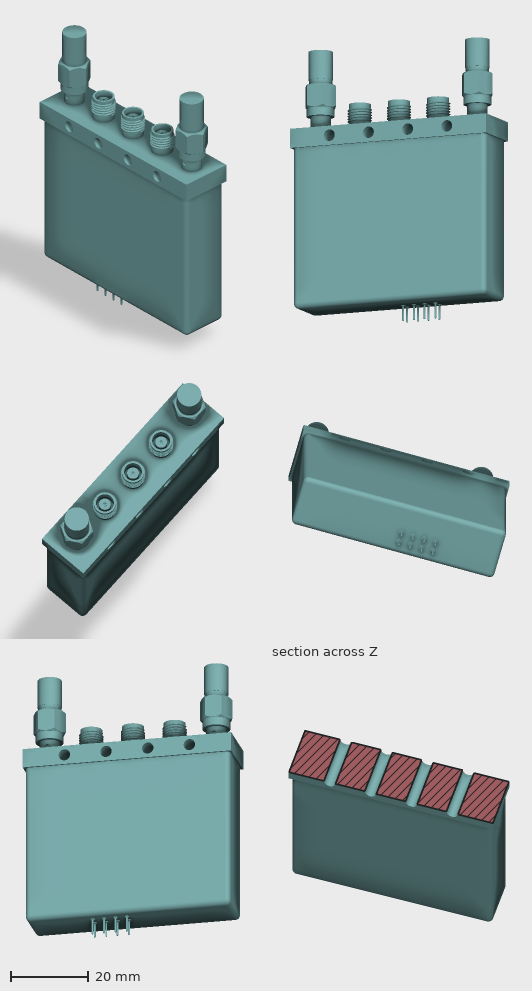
import cadquery as cq
import math

total_height = 72.55
flange_top = 51.5
flange_thickness = 5.1
flange_bottom = flange_top - flange_thickness
case_bottom = 4.1

flange_length = 55.6
flange_width = 14.2
flange_overhang = 0.5
case_length = flange_length - 2 * flange_overhang
case_width = flange_width - 2 * flange_overhang
case_edge_radius = 1.3

port_pitch = 11.1
connector_xs = [-port_pitch, 0, port_pitch]
terminator_xs = [-2 * port_pitch, 2 * port_pitch]
flange_hole_xs = [x + port_pitch / 2 for x in [-2 * port_pitch, *connector_xs]]
flange_hole_diameter = 3.05
flange_hole_z = flange_bottom + flange_thickness / 2

connector_height = 6.4
connector_core_diameter = 5.7
thread_crest_diameter = 6.3
thread_pitch = 0.7
thread_start = 1.7
thread_turns = 5
thread_root_overlap = 0.15
thread_root_half_width = 0.33
thread_crest_half_width = 0.04
bore_diameter = 4.65
bore_depth = 4.35
insulator_diameter = 3.05
insulator_recess = 1.2
contact_diameter = 1.15
contact_rise = 0.15
contact_hole_diameter = 0.7
contact_hole_depth = 0.6

stem_diameter = 5.3
collar_start = 3.85
collar_diameter = 7.25
nut_start = 6.0
nut_height = 6.2
nut_across_flats = 7.55
nut_corner_radius = nut_across_flats / math.sqrt(3)
nut_face_radius = 3.7
nut_chamfer_height = 0.6
neck_diameter = 6.2
cap_start = 13.6
cap_diameter = 6.3
stem_hole_diameter = 1.1
stem_hole_height = 2.0
stem_hole_depth = 0.7

pin_diameter = 0.5
pin_tip_chamfer = 0.11
first_pin_x = -10.0
pin_pitch = 3.05
pin_xs = [first_pin_x + i * pin_pitch for i in range(4)]
pin_ys = [-0.7, -3.3]
pin_base_diameter = 1.15
pin_base_height = 0.3

embed = 0.7


def disc(diameter, bottom, top):
    """Upright cylinder on the Z axis between two heights."""
    return cq.Workplane("XY").workplane(offset=bottom).circle(diameter / 2).extrude(top - bottom)


def make_case():
    case = (
        cq.Workplane("XY")
        .workplane(offset=case_bottom)
        .rect(case_length, case_width)
        .extrude(flange_bottom - case_bottom)
        .edges("|Z or <Z")
        .fillet(case_edge_radius)
    )
    flange = (
        cq.Workplane("XY")
        .workplane(offset=flange_bottom)
        .rect(flange_length, flange_width)
        .extrude(flange_thickness)
    )
    holes = (
        cq.Workplane("XZ")
        .pushPoints([(x, flange_hole_z) for x in flange_hole_xs])
        .circle(flange_hole_diameter / 2)
        .extrude(flange_width, both=True)
    )
    return case.union(flange.cut(holes))


def make_thread():
    """Helical ridge whose root lies inside the connector core."""
    crest_radius = thread_crest_diameter / 2
    root_radius = connector_core_diameter / 2 - thread_root_overlap
    helix = cq.Wire.makeHelix(thread_pitch, thread_turns * thread_pitch, root_radius)
    ridge = (
        cq.Workplane("XZ")
        .moveTo(root_radius, -thread_root_half_width)
        .lineTo(crest_radius, -thread_crest_half_width)
        .lineTo(crest_radius, thread_crest_half_width)
        .lineTo(root_radius, thread_root_half_width)
        .close()
        .sweep(cq.Workplane(obj=helix), isFrenet=True)
    )
    return ridge.translate((0, 0, thread_start))


def make_connector():
    """Threaded coaxial socket standing on the plane Z = 0."""
    insulator_top = connector_height - insulator_recess
    contact_top = insulator_top + contact_rise
    core = disc(connector_core_diameter, -embed, connector_height)
    bore_floor = connector_height - bore_depth
    return (
        core.union(make_thread())
        .cut(disc(bore_diameter, bore_floor, connector_height))
        .union(disc(insulator_diameter, bore_floor, insulator_top))
        .union(disc(contact_diameter, bore_floor, contact_top))
        .cut(disc(contact_hole_diameter, contact_top - contact_hole_depth, contact_top))
    )


def make_nut():
    """Hexagon with corners along X, its ends bevelled by a turned profile."""
    hexagon = cq.Workplane("XY").polygon(6, 2 * nut_corner_radius).extrude(nut_height)
    turned = (
        cq.Workplane("XZ")
        .lineTo(nut_face_radius, 0)
        .lineTo(nut_corner_radius, nut_chamfer_height)
        .lineTo(nut_corner_radius, nut_height - nut_chamfer_height)
        .lineTo(nut_face_radius, nut_height)
        .lineTo(0, nut_height)
        .close()
        .revolve(360, (0, 0, 0), (0, 1, 0))
    )
    return hexagon.intersect(turned).translate((0, 0, nut_start))


def make_terminator():
    """Capped terminator with a hexagon nut, standing on the plane Z = 0."""
    stem_hole = (
        cq.Workplane("XZ", origin=(0, stem_hole_depth - stem_diameter / 2, stem_hole_height))
        .circle(stem_hole_diameter / 2)
        .extrude(2 * stem_hole_depth)
    )
    return (
        disc(stem_diameter, -embed, collar_start)
        .cut(stem_hole)
        .union(disc(collar_diameter, collar_start, nut_start))
        .union(make_nut())
        .union(disc(neck_diameter, nut_start + nut_height, cap_start))
        .union(disc(cap_diameter, cap_start, total_height - flange_top))
    )


def make_pin():
    """Terminal pin with its tip at Z = 0 and a round base at the case."""
    pin = disc(pin_diameter, 0, case_bottom + embed).faces("<Z").chamfer(pin_tip_chamfer)
    return pin.union(disc(pin_base_diameter, case_bottom - pin_base_height, case_bottom + embed))


result = make_case()

connector = make_connector()
for x in connector_xs:
    result = result.union(connector.translate((x, 0, flange_top)))

terminator = make_terminator()
for x in terminator_xs:
    result = result.union(terminator.translate((x, 0, flange_top)))

pin = make_pin()
for x in pin_xs:
    for y in pin_ys:
        result = result.union(pin.translate((x, y, 0)))